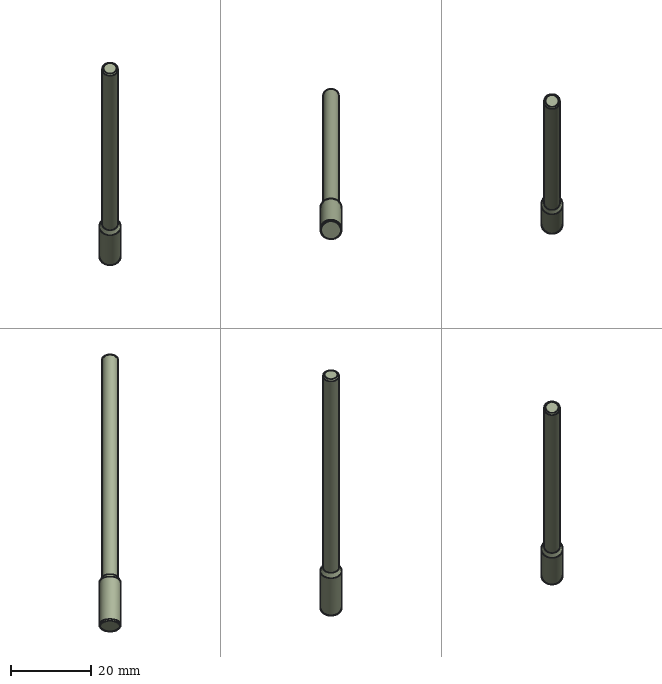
import cadquery as cq

total_length = 80.0
rod_diameter = 4.0
rod_tip_chamfer = 0.4
head_diameter = 5.4
head_chamfer_width = 0.2
head_chamfer_height = 0.4
shoulder_base_height = 13.0
shoulder_length = 1.2

rod_radius = rod_diameter / 2
head_radius = head_diameter / 2
head_length = shoulder_base_height + shoulder_length
rod_length = total_length - head_length


def make_head():
    """Thick lower end, chamfered below and tapering above to the rod diameter."""
    profile = (
        cq.Workplane("XZ")
        .moveTo(0, 0)
        .lineTo(head_radius - head_chamfer_width, 0)
        .lineTo(head_radius, head_chamfer_height)
        .lineTo(head_radius, shoulder_base_height)
        .lineTo(rod_radius, head_length)
        .lineTo(0, head_length)
        .close()
    )
    return profile.revolve(360, (0, 0, 0), (0, 1, 0))


def make_rod():
    """Slender rod standing on the head, with a chamfered tip."""
    return (
        cq.Workplane("XY")
        .workplane(offset=head_length)
        .circle(rod_radius)
        .extrude(rod_length)
        .faces(">Z")
        .chamfer(rod_tip_chamfer)
    )


head = make_head()
rod = make_rod()

result = cq.Compound.makeCompound([head.val(), rod.val()])